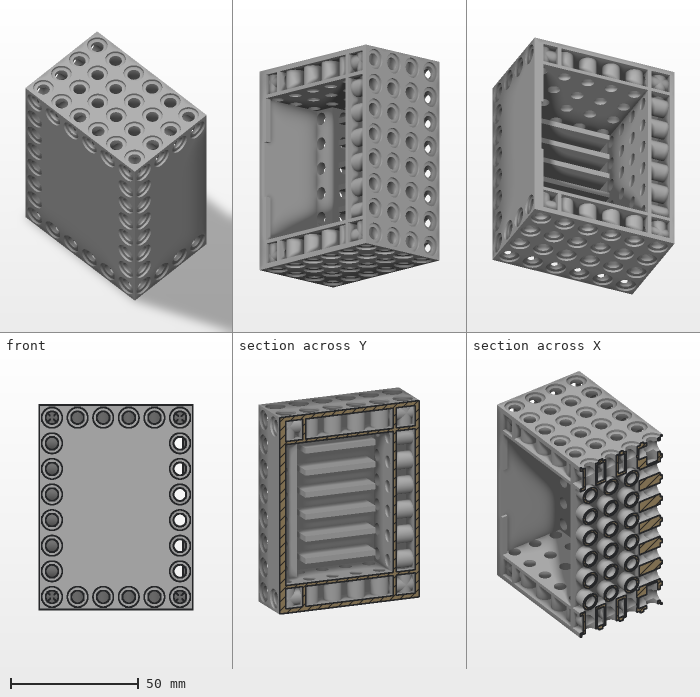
import cadquery as cq

pitch = 10.0
cells_x, cells_y, cells_z = 6, 4, 8
size_x = cells_x * pitch
size_y = cells_y * pitch
size_z = cells_z * pitch

bore_diameter = 5.0
counterbore_diameter = 8
counterbore_depth = 1.0
tube_diameter = 7.0

skin = 2.0
inner_skin = 1.4
right_wall = 2.8
wall_depth = pitch + inner_skin

rib_count = 6
rib_pitch = 9.0
rib_thickness = 2.2
rib_length = 3 * pitch

lip_height = 1.0
lip_depth = 2.4
lip_notch = 22.1


def block(x_range, y_range, z_range):
    """Box between the given limits along X, Y and Z."""
    lows, highs = zip(x_range, y_range, z_range)
    lengths = [high - low for low, high in zip(lows, highs)]
    return cq.Workplane("XY").box(*lengths, centered=False).translate(lows)


def cell_centres(count):
    """Cell centre positions along one side, lowest first."""
    return [(index - (count - 1) / 2) * pitch for index in range(count)]


columns_x = cell_centres(cells_x)
columns_y = cell_centres(cells_y)
rows_z = cell_centres(cells_z)
end_columns_x = (columns_x[0], columns_x[-1])
end_rows_z = (rows_z[0], rows_z[-1])

left, right = -size_x / 2, size_x / 2
front, back = -size_y / 2, size_y / 2
bottom, top = -size_z / 2, size_z / 2

left_holes = [((left, y, z), (1, 0, 0)) for y in columns_y for z in rows_z]
top_holes = [((x, y, top), (0, 0, -1)) for x in columns_x for y in columns_y]
bottom_holes = [((x, y, bottom), (0, 0, 1)) for x in columns_x for y in columns_y]

right_holes = [
    ((right, y, z), (-1, 0, 0))
    for y in columns_y
    for z in rows_z
    if y == columns_y[0] or z in end_rows_z
]

front_holes = [
    ((x, front, z), (0, 1, 0))
    for x in columns_x
    for z in rows_z
    if x in end_columns_x or z in end_rows_z
]
holes = left_holes + right_holes + top_holes + bottom_holes + front_holes


def cylinders(placements, diameter, depth):
    """One cylinder per hole, running inward from the outer face."""
    return [
        cq.Solid.makeCylinder(diameter / 2, depth, cq.Vector(*mouth), cq.Vector(*inward))
        for mouth, inward in placements
    ]


body = block((left, right), (front, back), (bottom, top)).cut(
    block((left + skin, right - right_wall), (front + skin, back), (bottom + skin, top - skin))
)

frame = block((left, right), (front, front + wall_depth), (bottom, top)).cut(
    block(
        (left + wall_depth, right - wall_depth),
        (front + skin, front + wall_depth),
        (bottom + wall_depth, top - wall_depth),
    )
)

left_inner_skin = block((left + pitch, left + wall_depth), (front, back), (bottom, top))
top_inner_skin = block((left, right), (front, back), (top - wall_depth, top - pitch))
bottom_inner_skin = top_inner_skin.mirror("XY")

top_bulkhead = block((right - wall_depth, right - pitch), (front, back), (top - wall_depth, top))
bottom_bulkhead = top_bulkhead.mirror("XY")

inner_walls = (left_inner_skin, top_inner_skin, bottom_inner_skin, top_bulkhead, bottom_bulkhead)
for wall in (frame, *inner_walls):
    body = body.union(wall)

for index in range(rib_count):
    rib_z = (index - (rib_count - 1) / 2) * rib_pitch
    rib = block(
        (-rib_length / 2, rib_length / 2),
        (front, front + wall_depth),
        (rib_z - rib_thickness / 2, rib_z + rib_thickness / 2),
    )
    body = body.union(rib)

wall_face = right - right_wall
lip = block((wall_face - lip_height, wall_face), (back - lip_depth, back), (bottom + skin, top - skin))
notch = block((wall_face - lip_height, wall_face), (back - lip_depth, back), (-lip_notch / 2, lip_notch / 2))
body = body.union(lip.cut(notch))

solid = body.val().fuse(*cylinders(holes, tube_diameter, wall_depth))
solid = solid.cut(*cylinders(holes, bore_diameter, wall_depth))
solid = solid.cut(*cylinders(holes, counterbore_diameter, counterbore_depth))

result = cq.Workplane(solid.Solids()[0])